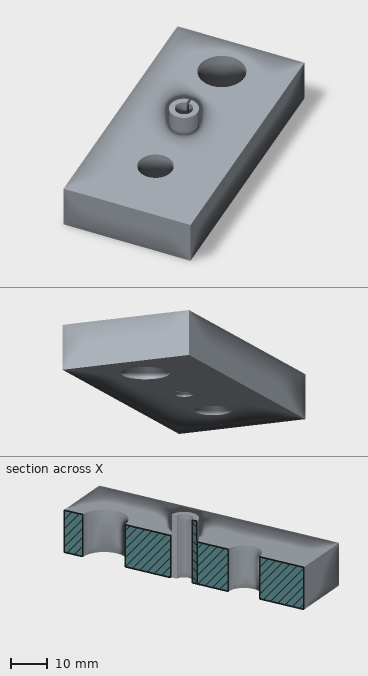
import cadquery as cq

PLATE_WIDTH = 38.1
PLATE_LENGTH = 76.2
PLATE_HEIGHT = 12.7

LARGE_HOLE_DIAMETER = 13.4
LARGE_HOLE_Y = 25.4
SMALL_HOLE_DIAMETER = 10.0
SMALL_HOLE_Y = -19.05

PIN_DIAMETER = 8.2
PIN_BORE_DIAMETER = 5.0
PIN_SLOT_WIDTH = 0.8
PIN_Y = 0.0
PIN_PROJECTION = 6.2
PIN_LENGTH = PLATE_HEIGHT + PIN_PROJECTION


def cylinder(diameter, height, y):
    """Vertical cylinder on the centreline, standing on Z = 0."""
    return cq.Workplane("XY").center(0, y).circle(diameter / 2).extrude(height)


def make_plate():
    """Rectangular plate with two open holes and the pin's hole."""
    plate = cq.Workplane("XY").box(
        PLATE_WIDTH, PLATE_LENGTH, PLATE_HEIGHT, centered=(True, True, False)
    )
    holes = [
        (LARGE_HOLE_DIAMETER, LARGE_HOLE_Y),
        (SMALL_HOLE_DIAMETER, SMALL_HOLE_Y),
        (PIN_DIAMETER, PIN_Y),
    ]
    for diameter, y in holes:
        plate = plate.cut(cylinder(diameter, PLATE_HEIGHT, y))
    return plate


def make_spring_pin():
    """Tube split along its whole length by a slot on its +Y side."""
    tube = cylinder(PIN_DIAMETER, PIN_LENGTH, PIN_Y)
    bore = cylinder(PIN_BORE_DIAMETER, PIN_LENGTH, PIN_Y)
    slot = (
        cq.Workplane("XY")
        .center(0, PIN_Y)
        .box(PIN_SLOT_WIDTH, PIN_DIAMETER, PIN_LENGTH, centered=(True, False, False))
    )
    return tube.cut(bore).cut(slot)


plate = make_plate()
spring_pin = make_spring_pin()

result = cq.Compound.makeCompound([plate.val(), spring_pin.val()])